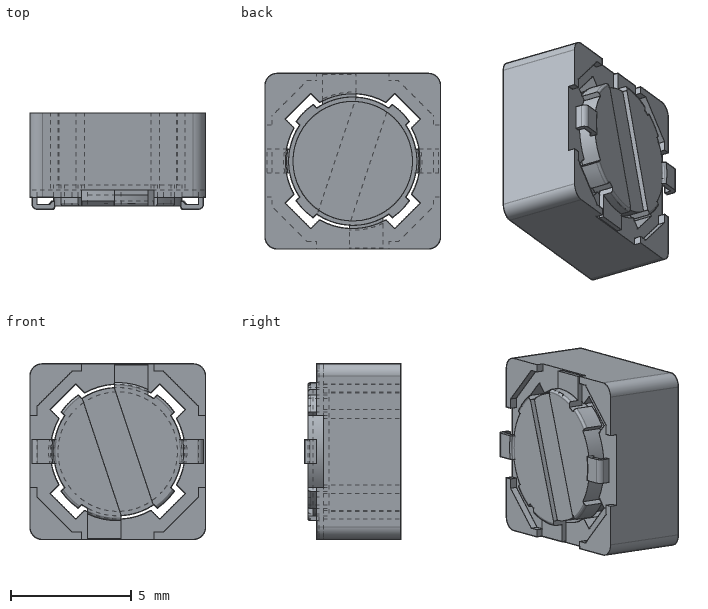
import cadquery as cq
import math


case_size = 7.3
case_height = 3.505
case_corner_radius = 0.52

recess_floor = 3.205
recess_half_width = 3.34
recess_corner_start = 1.89
recess_exit_width = 2.99

bore_radius = 2.795
corner_slot_width = 1.5
corner_slot_reach = 3.21

core_radius = 2.665
drum_radius = 2.48
flange_floor = 2.985
core_height = 3.86
corner_tab_angles = (45, 135, 225, 315)

strip_thickness = 0.205
strip_width = 1.0
strip_floor = core_height - strip_thickness
tab_radius = core_radius + strip_thickness
tab_edge_fillet = 0.1

groove_width = 1.4
groove_tilt = 18.4

side_tab_near_x = -0.14
side_tab_far_x = 1.255
side_tab_reach = 3.6

overall_height = 4.0
clip_reach = 3.555
clip_bend_radius = 0.22
clip_floor = overall_height - strip_thickness

step_bend_radius = (overall_height - core_height) / 2
step_middle_radius = 2.67
step_outer_radius = step_middle_radius + step_bend_radius
step_inner_radius = step_middle_radius - step_bend_radius
step_ramp_start = 2.745
step_ramp_end = 2.87


def plane_at(height):
    """Sketch plane parallel to the back, with local axes X and Z and its normal along -Y."""
    return cq.Workplane("XZ").workplane(offset=height)


def disc(radius, bottom, top):
    return plane_at(bottom).circle(radius).extrude(top - bottom)


def block(x_min, x_max, z_min, z_max, bottom, top):
    sketch = plane_at(bottom).center((x_min + x_max) / 2, (z_min + z_max) / 2)
    return sketch.rect(x_max - x_min, z_max - z_min).extrude(top - bottom)


def turned(body, angle):
    return body.rotate((0, 0, 0), (0, 1, 0), angle)


def make_recess():
    a = recess_half_width
    b = recess_corner_start
    corners = [(a, b), (b, a), (-b, a), (-a, b), (-a, -b), (-b, -a), (b, -a), (a, -b)]
    depth = case_height - recess_floor
    floor_plane = plane_at(recess_floor)
    recess = floor_plane.polyline(corners).close().extrude(depth)
    across = floor_plane.rect(case_size, recess_exit_width).extrude(depth)
    upright = floor_plane.rect(recess_exit_width, case_size).extrude(depth)
    return recess.union(across).union(upright)


def make_case():
    body = plane_at(0).rect(case_size, case_size).extrude(case_height)
    body = body.edges("|Y").fillet(case_corner_radius)
    body = body.cut(make_recess()).cut(disc(bore_radius, 0, case_height))
    half_slot = corner_slot_width / 2
    slot = block(0, corner_slot_reach, -half_slot, half_slot, 0, case_height)
    for angle in corner_tab_angles:
        body = body.cut(turned(slot, angle))
    return body


def make_core():
    groove = plane_at(strip_floor).rect(groove_width, 2 * case_size).extrude(strip_thickness)
    flange = disc(core_radius, flange_floor, core_height)
    core = disc(drum_radius, 0, core_height).union(flange)
    return core.cut(turned(groove, -groove_tilt))


def make_rim(bottom):
    """Ring around the core with a rounded front edge, from which the tabs are cut."""
    rim = disc(tab_radius, bottom, core_height).faces("<Y").edges().fillet(tab_edge_fillet)
    return rim.cut(disc(core_radius, bottom, core_height))


def make_corner_tab():
    half_width = strip_width / 2
    tab_block = block(0, case_size, -half_width, half_width, flange_floor, core_height)
    return make_rim(flange_floor).intersect(tab_block)


def make_side_tab():
    """Tab bent back down the side of the core and then outwards along the recess floor."""
    tab_column = block(side_tab_near_x, side_tab_far_x, 0, side_tab_reach, recess_floor, core_height)
    bent_wall = make_rim(recess_floor).intersect(tab_column)
    foot = block(
        side_tab_near_x, side_tab_far_x, 0, side_tab_reach, recess_floor, recess_floor + strip_thickness
    )
    return bent_wall.union(foot.cut(disc(core_radius, recess_floor, core_height)))


def make_clip():
    """C-shaped solder clip on the +X side, joined to the core face by a curved step."""
    half_width = strip_width / 2
    hook = block(0, clip_reach, -half_width, half_width, case_height, overall_height)
    hook = hook.edges("|Z and >X and <Y").fillet(clip_bend_radius)
    leg_inside = clip_reach - strip_thickness
    hook = hook.cut(block(0, leg_inside, -half_width, half_width, case_height, clip_floor))
    hook = hook.cut(disc(step_ramp_end, case_height, overall_height))

    bend_mid = step_bend_radius * math.sqrt(0.5)
    step = (
        cq.Workplane("XY")
        .moveTo(step_inner_radius - strip_thickness, -strip_floor)
        .lineTo(step_ramp_start, -strip_floor)
        .lineTo(step_ramp_end, -clip_floor)
        .lineTo(step_ramp_end, -overall_height)
        .lineTo(step_outer_radius, -overall_height)
        .threePointArc(
            (step_outer_radius - bend_mid, -overall_height + step_bend_radius - bend_mid),
            (step_middle_radius, -overall_height + step_bend_radius),
        )
        .threePointArc(
            (step_inner_radius + bend_mid, -core_height - step_bend_radius + bend_mid),
            (step_inner_radius, -core_height),
        )
        .lineTo(step_inner_radius - strip_thickness, -core_height)
        .close()
        .revolve(360, (0, 0, 0), (0, 1, 0))
    )
    strip = block(0, case_size, -half_width, half_width, strip_floor, overall_height)
    return hook.union(step.intersect(strip))


result = make_case().union(make_core())

corner_tab = make_corner_tab()
for angle in corner_tab_angles:
    result = result.union(turned(corner_tab, angle))

side_tab = make_side_tab()
clip = make_clip()
for angle in (0, 180):
    result = result.union(turned(side_tab, angle)).union(turned(clip, angle))